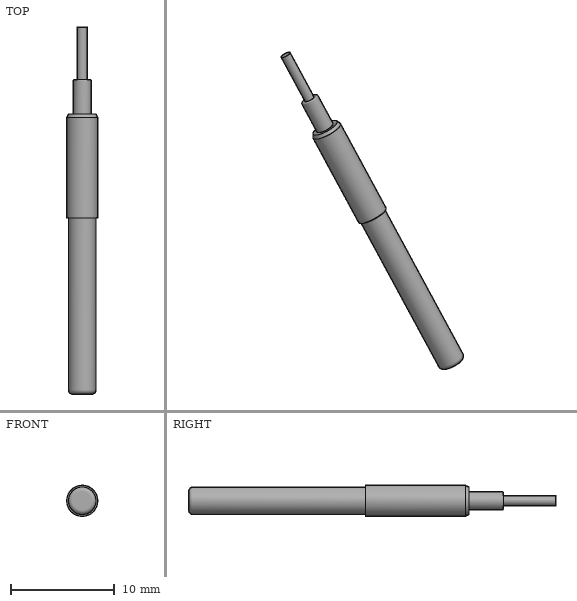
import cadquery as cq

total_length = 35.3

shaft_diameter = 2.65
shaft_length = 16.98
tip_face_diameter = 1.85
tip_round_radius = (shaft_diameter - tip_face_diameter) / 2

body_diameter = 3.0
body_length = 10.0
body_chamfer_length = 0.35
body_chamfer_depth = 0.18

sleeve_diameter = 1.75
sleeve_length = 3.3
sleeve_round_radius = 0.1

wire_diameter = 1.0
wire_length = total_length - shaft_length - body_length - sleeve_length

shaft_y = -total_length / 2
body_y = shaft_y + shaft_length
sleeve_y = body_y + body_length
wire_y = sleeve_y + sleeve_length


def rod(start_y, length, diameter):
    """Solid cylinder on the Y axis, running toward +Y from start_y."""
    base = cq.Workplane("XZ", origin=(0, start_y, 0))
    return base.circle(diameter / 2).extrude(-length)


shaft = rod(shaft_y, shaft_length, shaft_diameter)
shaft = shaft.faces("<Y").edges().fillet(tip_round_radius)

body = rod(body_y, body_length, body_diameter)
body = body.faces(">Y").edges().chamfer(body_chamfer_length, body_chamfer_depth)

sleeve = rod(sleeve_y, sleeve_length, sleeve_diameter)
sleeve = sleeve.faces(">Y").edges().fillet(sleeve_round_radius)

wire = rod(wire_y, wire_length, wire_diameter)

result = shaft.union(body).union(sleeve).union(wire)